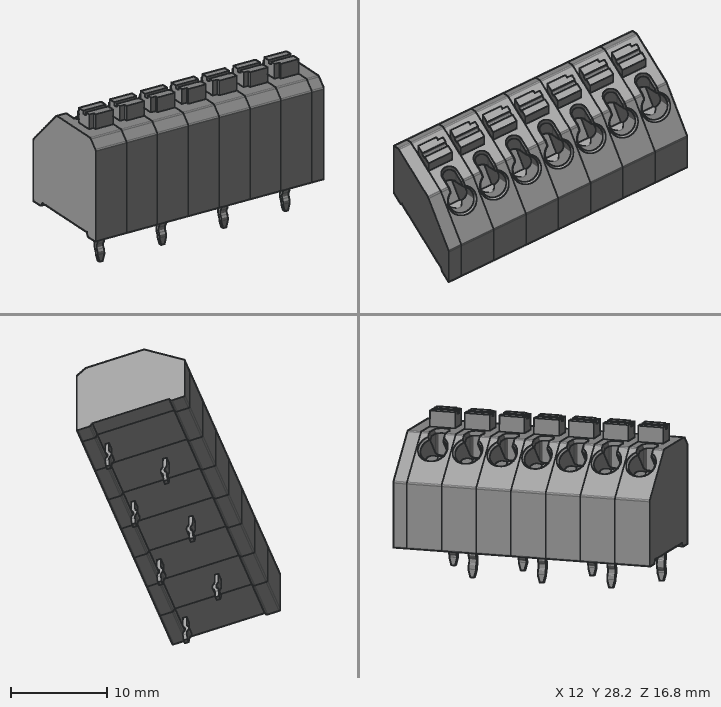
import cadquery as cq
import math

pole_count = 7
total_length = 28.17
end_plate_thickness = 1.5
pole_pitch = (total_length - end_plate_thickness) / pole_count
entry_from_pole_edge = 1.77

body_depth = 12.0
body_height = 11.55
wire_slope_leg = 4.5
back_chamfer = 1.01
profile_edge_radius = 0.28
foot_height = 0.45
foot_top_length = 1.75
foot_bottom_length = 1.52
foot_corner_radius = 0.17
edge_margin = 0.28

entry_down_slope = 1.38
entry_radius = 1.4
entry_mouth_radius = 1.6
entry_mouth_depth = 0.3
funnel_start_depth = 2.3
funnel_end_depth = 3.55
funnel_start_width = 3.0
funnel_end_width = 1.25
funnel_floor_rise = 0.28

slot_end_x = 6.73
slot_mouth_radius = 0.87
slot_radius = 0.7
slot_mouth_depth = 0.45
slot_lower_limit = 1.13

button_x = 7.18
button_length = 2.3
button_width = 2.75
button_height = 1.7
button_edge_gap = 0.03
button_step_length = 0.35
button_step_width = 0.6
groove_x = 8.03
groove_width = 0.5
groove_depth = 0.35
groove_radius = 0.1

pin_thickness = 0.42
pin_width = 0.82
pin_length = 3.55
front_pin_x = 4.73
back_pin_x = 9.7
bend_centre_z = -1.8
bend_half_length = 0.85
bend_offset = 0.25
pin_tip_length = 0.8
pin_tip_width = 0.4

entry_x = wire_slope_leg - entry_down_slope
entry_z = body_height - entry_down_slope


def body_block(y_start, width):
    """Extrude the body profile along +Y, with rounded upper edges and feet."""
    outline = [
        (0, 0),
        (0, body_height - wire_slope_leg),
        (wire_slope_leg, body_height),
        (body_depth - back_chamfer, body_height),
        (body_depth, body_height - back_chamfer),
        (body_depth, 0),
        (body_depth - foot_bottom_length, 0),
        (body_depth - foot_top_length, foot_height),
        (foot_top_length, foot_height),
        (foot_bottom_length, 0),
    ]
    block = (
        cq.Workplane("XZ", origin=(0, y_start, 0))
        .polyline(outline)
        .close()
        .extrude(-width)
    )
    y_end = y_start + width
    upper_edges = cq.selectors.BoxSelector(
        (-edge_margin, y_start, 2 * foot_height), (body_depth + edge_margin, y_end, body_height + edge_margin)
    )
    foot_edges = cq.selectors.BoxSelector(
        (-edge_margin, y_start, -edge_margin), (body_depth + edge_margin, y_end, foot_height / 2)
    )
    block = block.edges("|Y").edges(upper_edges).fillet(profile_edge_radius)
    return block.edges("|Y").edges(foot_edges).fillet(foot_corner_radius)


def entry_plane(y, depth):
    """Plane parallel to the sloping face, sunk by depth; its normal points into the body."""
    sink = depth * math.sqrt(0.5)
    return cq.Plane(origin=(entry_x + sink, y, entry_z - sink), xDir=(1, 0, 1), normal=(1, 0, -1))


def wire_entry(y):
    """Cutter for the flared wire hole and its funnel."""
    mouth = (
        cq.Workplane(entry_plane(y, 0))
        .circle(entry_mouth_radius)
        .workplane(offset=entry_mouth_depth)
        .circle(entry_radius)
        .loft()
    )
    bore = cq.Workplane(entry_plane(y, 0)).circle(entry_radius).extrude(funnel_start_depth)
    funnel_length = funnel_end_depth - funnel_start_depth
    funnel_end_height = 2 * entry_radius - funnel_floor_rise
    funnel = (
        cq.Workplane(entry_plane(y, funnel_start_depth))
        .rect(2 * entry_radius, funnel_start_width)
        .workplane(offset=funnel_length)
        .center(funnel_floor_rise / 2, 0)
        .rect(funnel_end_height, funnel_end_width)
        .loft()
    )
    full_bore = cq.Workplane(entry_plane(y, 0)).circle(entry_radius).extrude(funnel_end_depth)
    return bore.union(mouth).union(funnel.intersect(full_bore))


def slot_outline(plane, arc_x, radius):
    """Outline of a slot that starts at the hole centre and ends in a half circle."""
    return (
        plane.moveTo(entry_x, -radius)
        .lineTo(arc_x, -radius)
        .threePointArc((arc_x + radius, 0), (arc_x, radius))
        .lineTo(entry_x, radius)
        .close()
    )


def test_slot(y):
    """Cutter for the vertical slot, with a mouth that tapers in from the top and sloping faces."""
    arc_x = slot_end_x - slot_mouth_radius
    top = cq.Workplane("XY", origin=(0, y, body_height))
    reach = 2 * body_height
    above_entry = (
        cq.Workplane(entry_plane(y, funnel_end_depth))
        .center(slot_lower_limit + reach / 2, 0)
        .rect(reach, 2 * slot_radius)
        .extrude(-reach)
    )
    shaft = slot_outline(top, arc_x, slot_radius).extrude(-body_height).intersect(above_entry)
    taper = math.degrees(math.atan((slot_mouth_radius - slot_radius) / slot_mouth_depth))
    top_mouth = slot_outline(top, arc_x, slot_mouth_radius).extrude(-slot_mouth_depth, taper=taper)
    slope_mouth_length = 2 * entry_down_slope * math.sqrt(2)
    slope_mouth = (
        cq.Workplane(entry_plane(y, 0))
        .center(slope_mouth_length / 2, 0)
        .rect(slope_mouth_length, 2 * slot_mouth_radius)
        .extrude(slot_mouth_depth, taper=taper)
    )
    return shaft.union(top_mouth).union(slope_mouth)


def button(y_top):
    """Release button with a screwdriver groove and a step in its back corner."""
    corner = (button_x, y_top - button_width, body_height)
    block = cq.Workplane("XY").box(button_length, button_width, button_height, centered=False)
    step = (
        cq.Workplane("XY", origin=(button_length - button_step_length, 0, 0))
        .box(button_step_length, button_step_width, button_height, centered=False)
    )
    groove = (
        cq.Workplane("XY", origin=(groove_x - button_x, 0, button_height - groove_depth))
        .box(groove_width, button_width, groove_depth, centered=False)
        .edges("|Y and <Z")
        .fillet(groove_radius)
    )
    return block.cut(step).cut(groove).translate(corner)


def pin(x, y, bend_direction):
    """Flat solder pin, bent sideways to grip the board, with a tapered tip."""
    half_angle = math.atan(bend_offset / bend_half_length)
    bend_radius = bend_half_length / (2 * math.sin(2 * half_angle))
    quarter_x = bend_direction * bend_radius * (1 - math.cos(half_angle))
    quarter_z = bend_radius * math.sin(half_angle)
    peak_x = bend_direction * bend_offset
    bend_top = bend_centre_z + bend_half_length
    bend_bottom = bend_centre_z - bend_half_length
    path = (
        cq.Workplane("XZ", origin=(x, y, 0))
        .moveTo(0, foot_height)
        .lineTo(0, bend_top)
        .threePointArc((quarter_x, bend_top - quarter_z), (peak_x / 2, (bend_top + bend_centre_z) / 2))
        .threePointArc((peak_x, bend_centre_z), (peak_x / 2, (bend_bottom + bend_centre_z) / 2))
        .threePointArc((quarter_x, bend_bottom + quarter_z), (0, bend_bottom))
        .lineTo(0, -pin_length)
    )
    strip = (
        cq.Workplane("XY", origin=(x, y, foot_height))
        .rect(pin_thickness, pin_width)
        .sweep(path)
    )
    tip_top = pin_tip_length - pin_length
    silhouette = (
        cq.Workplane("YZ", origin=(x, y, 0))
        .polyline([
            (-pin_width / 2, foot_height),
            (-pin_width / 2, tip_top),
            (-pin_tip_width / 2, -pin_length),
            (pin_tip_width / 2, -pin_length),
            (pin_width / 2, tip_top),
            (pin_width / 2, foot_height),
        ])
        .close()
        .extrude(pin_thickness + bend_offset, both=True)
    )
    return strip.intersect(silhouette)


def pole(index):
    """One pole: body, wire entry, test slot, button and pin in one solid."""
    y_start = index * pole_pitch
    y_end = y_start + pole_pitch
    y_centre = y_end - entry_from_pole_edge
    body = body_block(y_start, pole_pitch).cut(wire_entry(y_centre)).cut(test_slot(y_centre))
    if index % 2 == 0:
        solder_pin = pin(back_pin_x, y_centre, -1)
    else:
        solder_pin = pin(front_pin_x, y_centre, 1)
    return body.union(button(y_end - button_edge_gap)).union(solder_pin)


poles = [pole(index) for index in range(pole_count)]
end_plate = body_block(pole_count * pole_pitch, end_plate_thickness)

result = cq.Compound.makeCompound([*[body.val() for body in poles], end_plate.val()])